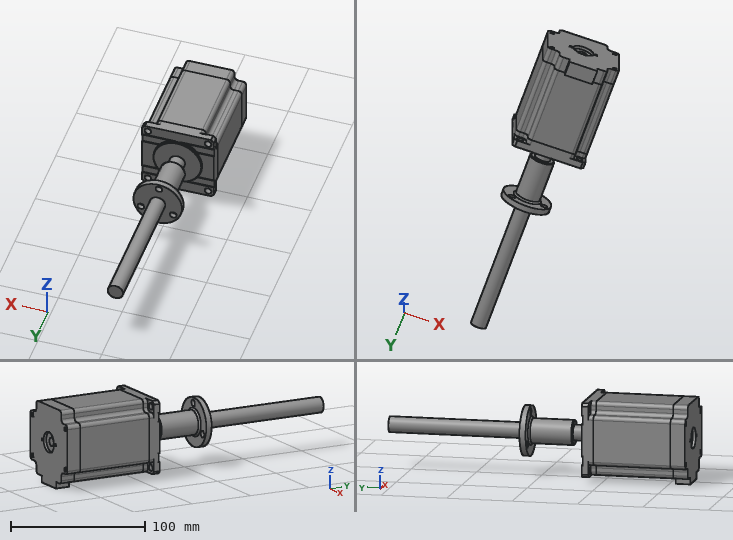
import cadquery as cq


side = 56.4
half = side / 2
notch_wall = 19.0
notch_radius = 3.0
rear_cap_end = 11.1
stator_end = 70.0
plate_start = 74.0
plate_end = 79.0

plate_chamfer = 2.3
mount_hole_spacing = 47.0
mount_hole_diameter = 5.0
pilot_diameter = 38.0
pilot_height = 1.5
pilot_chamfer = 0.5
slot_width = 6.7
slot_depth = 0.81
slot_offset = 15.5

connector_width = 21.8
connector_drop = 5.0
rear_screw_spacing_x = 49.6
rear_screw_spacing_z = 31.0
rear_screw_diameter = 3.0
rear_screw_depth = 1.0
recess_diameter = 15.8
recess_depth = 2.3
pin_hole_spacing = 20.0
pin_hole_diameter = 1.9

screw_diameter = 12.0
screw_end = 232.0
shaft_diameter = 6.5

nut_start = 90.7
nut_flange_start = 124.1
nut_end = 128.8
nut_diameter = 19.0
nut_end_chamfer = 0.7
nut_neck = 1.5
nut_flange_diameter = 38.0
nut_hole_count = 3
nut_hole_circle = 29.2
nut_hole_diameter = 5.0
nut_turn = -4.0


def along_y(start):
    """Workplane facing +Y at the given Y; its local x is Z and its local y is X."""
    return cq.Workplane(cq.Plane(origin=(0, start, 0), xDir=(0, 0, 1), normal=(0, 1, 0)))


def cylinder(diameter, start, end):
    """Cylinder on the Y axis."""
    return along_y(start).circle(diameter / 2).extrude(end - start)


def hole_grid(spacing_x, spacing_z, diameter, start, end):
    """Four cylinders at the corners of a rectangle, used to cut holes."""
    corners = along_y(start).rect(spacing_z, spacing_x, forConstruction=True).vertices()
    return corners.circle(diameter / 2).extrude(end - start)


def notched_block(start, end):
    """Stretch of the motor section, with its four notches."""
    length = end - start
    block = along_y(start).rect(side, side).extrude(length)
    notch_size = half - notch_wall
    notch_spacing = half + notch_wall
    corners = along_y(start).rect(notch_spacing, notch_spacing, forConstruction=True).vertices()
    block = block.cut(corners.rect(notch_size, notch_size).extrude(length))
    return block.edges("|Y").fillet(notch_radius)


def make_stator():
    """Stator with the lead screw in front and the thinner shaft behind."""
    screw = cylinder(screw_diameter, stator_end, screw_end)
    shaft = cylinder(shaft_diameter, recess_depth, rear_cap_end)
    return notched_block(rear_cap_end, stator_end).union(screw).union(shaft)


def make_front_cap():
    """Front cap with mounting plate, slots and pilot, bored for the screw."""
    plate = along_y(plate_start).rect(side, side).extrude(plate_end - plate_start)
    plate = plate.edges("|Y").chamfer(plate_chamfer)
    plate = plate.cut(
        hole_grid(mount_hole_spacing, mount_hole_spacing, mount_hole_diameter, plate_start, plate_end)
    )

    slot_floor = plate_end - slot_depth
    slot_places = [(-slot_offset, 0), (slot_offset, 0)]
    slots = along_y(slot_floor).pushPoints(slot_places).rect(slot_width, side).extrude(slot_depth)
    plate = plate.cut(slots)

    pilot = cylinder(pilot_diameter, slot_floor, plate_end + pilot_height)
    pilot = pilot.faces(">Y").chamfer(pilot_chamfer)

    cap = notched_block(stator_end, plate_start).union(plate).union(pilot)
    return cap.cut(cylinder(screw_diameter, stator_end, plate_end + pilot_height))


def make_rear_cap():
    """Rear cap with connector, screw holes and central recess, bored for the shaft."""
    connector_bottom = -half - connector_drop
    connector = (
        along_y(0)
        .center(connector_bottom / 2, 0)
        .rect(-connector_bottom, connector_width)
        .extrude(rear_cap_end)
    )
    cap = notched_block(0, rear_cap_end).union(connector)
    cap = cap.cut(
        hole_grid(rear_screw_spacing_x, rear_screw_spacing_z, rear_screw_diameter, 0, rear_screw_depth)
    )
    cap = cap.cut(cylinder(recess_diameter, 0, recess_depth))

    pin_places = [(0, -pin_hole_spacing / 2), (0, pin_hole_spacing / 2)]
    pin_holes = along_y(0).pushPoints(pin_places).circle(pin_hole_diameter / 2).extrude(recess_depth)
    return cap.cut(pin_holes).cut(cylinder(shaft_diameter, recess_depth, rear_cap_end))


def make_nut():
    """Flanged nut, bored for the screw."""
    barrel = cylinder(nut_diameter, nut_start, nut_flange_start)
    barrel = barrel.faces("<Y").chamfer(nut_end_chamfer)
    flange = cylinder(nut_flange_diameter, nut_flange_start, nut_end)
    nut = barrel.union(flange)

    flange_back = nut.faces("<Y[-2]")
    inner_corner = flange_back.edges(cq.selectors.RadiusNthSelector(0))
    nut = inner_corner.chamfer(nut_neck)

    holes = along_y(nut_flange_start).polarArray(nut_hole_circle / 2, 0, 360, nut_hole_count)
    nut = nut.cut(holes.circle(nut_hole_diameter / 2).extrude(nut_end - nut_flange_start))
    nut = nut.cut(cylinder(screw_diameter, nut_start, nut_end))
    return nut.rotate((0, 0, 0), (0, 1, 0), nut_turn)


stator = make_stator()
front_cap = make_front_cap()
rear_cap = make_rear_cap()
nut = make_nut()

result = cq.Compound.makeCompound([stator.val(), front_cap.val(), rear_cap.val(), nut.val()])